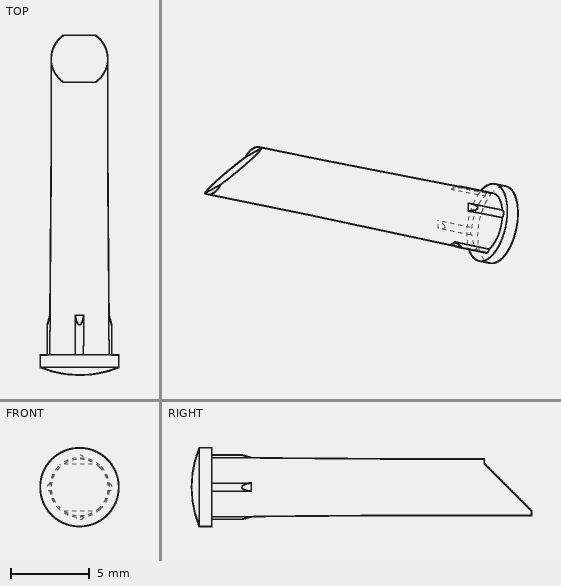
import cadquery as cq

total_length = 21.6
head_radius = 2.5
rim_thickness = 0.8
dome_height = 0.5
shank_length = total_length - rim_thickness - dome_height

tip_radius = 1.803
shank_base_radius = 1.9
tip_length = 7.65
cone_length = shank_length - tip_length

tip_flat_height = 0.3

rib_count = 4
rib_length = 2.5
rib_ramp_length = 0.6
rib_crown_radius = 2.05
rib_shoulder_radius = 1.96
rib_root_radius = 1.73
rib_root_width = 0.7
rib_shoulder_width = 0.4


def make_pin_body():
    """Head, tapered shank and straight tip turned about the Y axis."""
    rim_front = -rim_thickness
    dome_apex = rim_front - dome_height
    dome_sphere_radius = (head_radius**2 + dome_height**2) / (2 * dome_height)
    mid_radius = head_radius / 2
    mid_drop = dome_sphere_radius - (dome_sphere_radius**2 - mid_radius**2) ** 0.5
    return (
        cq.Workplane("XY")
        .moveTo(0, dome_apex)
        .threePointArc((mid_radius, dome_apex + mid_drop), (head_radius, rim_front))
        .lineTo(head_radius, 0)
        .lineTo(shank_base_radius, 0)
        .lineTo(tip_radius, cone_length)
        .lineTo(tip_radius, shank_length)
        .lineTo(0, shank_length)
        .close()
        .revolve(360, (0, 0, 0), (0, 1, 0))
    )


def make_tip_cutter():
    """45 degree slant, leaving a small upright flat at its top and bottom."""
    slant_half_height = tip_radius - tip_flat_height
    slant_start = shank_length - 2 * slant_half_height
    clear_height = 2 * tip_radius
    return (
        cq.Workplane("YZ")
        .polyline([
            (shank_length, -slant_half_height),
            (slant_start, slant_half_height),
            (slant_start, clear_height),
            (shank_length, clear_height),
        ])
        .close()
        .extrude(clear_height, both=True)
    )


def make_rib():
    """Round-topped rib on the +Z side, ramping down to the shank at its far end."""
    section = (
        cq.Workplane("XZ")
        .moveTo(-rib_root_width / 2, rib_root_radius)
        .lineTo(-rib_shoulder_width / 2, rib_shoulder_radius)
        .threePointArc((0, rib_crown_radius), (rib_shoulder_width / 2, rib_shoulder_radius))
        .lineTo(rib_root_width / 2, rib_root_radius)
        .close()
        .extrude(-rib_length)
    )
    taper = (shank_base_radius - tip_radius) / cone_length
    ramp_foot_radius = shank_base_radius - taper * rib_length
    side_profile = (
        cq.Workplane("YZ")
        .polyline([
            (0, rib_root_radius),
            (rib_length, rib_root_radius),
            (rib_length, ramp_foot_radius),
            (rib_length - rib_ramp_length, rib_crown_radius),
            (0, rib_crown_radius),
        ])
        .close()
        .extrude(rib_root_width, both=True)
    )
    return section.intersect(side_profile)


result = make_pin_body().cut(make_tip_cutter())
rib = make_rib()
for index in range(rib_count):
    angle = index * 360 / rib_count
    result = result.union(rib.rotate((0, 0, 0), (0, 1, 0), angle))